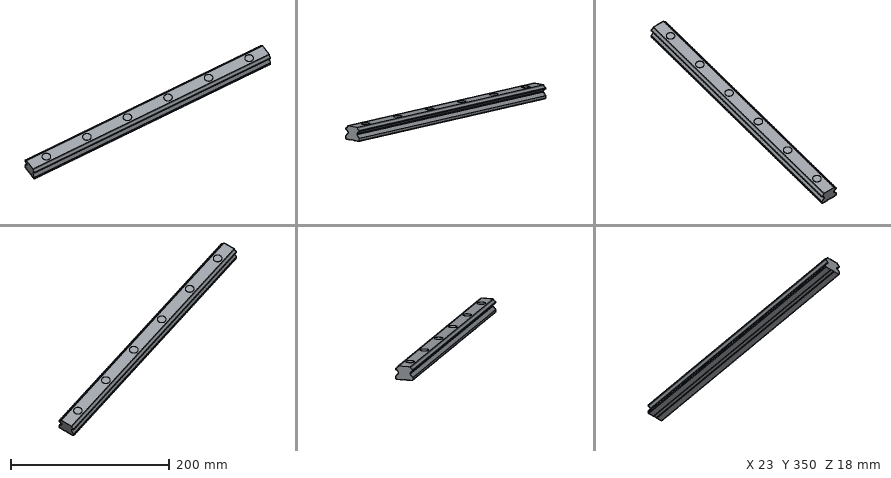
import cadquery as cq

length = 350.0
width = 23.0
height = 18.0

half_width = width / 2
base_chamfer = 1.0
base_side_top = 4.2

neck_half_width = 7.7
neck_bottom = 8.5
neck_top = 9.8

head_middle = 13.5
head_side_height = 1.0
bevel_half_width = 11.0
bevel_half_height = 1.0
groove_end_half_width = 8.5
groove_end_half_height = 3.0
groove_sag = 0.5
top_half_width = 8.0

relief_width = 5.5
relief_floor_width = 4.2
relief_depth = 0.5

recess_count = 6
recess_end_margin = 25.0
recess_pitch = (length - 2 * recess_end_margin) / (recess_count - 1)
recess_diameter = 11.0
recess_depth = 0.18


def build_half_rail():
    """Half of the rail on the +X side of its centre plane."""
    return (
        cq.Workplane("XZ", origin=(0, length / 2, 0))
        .moveTo(0, relief_depth)
        .lineTo(relief_floor_width / 2, relief_depth)
        .lineTo(relief_width / 2, 0)
        .lineTo(half_width - base_chamfer, 0)
        .lineTo(half_width, base_chamfer)
        .lineTo(half_width, base_side_top)
        .lineTo(neck_half_width, neck_bottom)
        .lineTo(neck_half_width, neck_top)
        .lineTo(groove_end_half_width, head_middle - groove_end_half_height)
        .sagittaArc((bevel_half_width, head_middle - bevel_half_height), groove_sag)
        .lineTo(half_width, head_middle - head_side_height / 2)
        .lineTo(half_width, head_middle + head_side_height / 2)
        .lineTo(bevel_half_width, head_middle + bevel_half_height)
        .sagittaArc((groove_end_half_width, head_middle + groove_end_half_height), groove_sag)
        .lineTo(top_half_width, height)
        .lineTo(0, height)
        .close()
        .extrude(length)
    )


def build_rail():
    half_rail = build_half_rail()
    return half_rail.union(half_rail.mirror("YZ"))


def build_recesses():
    return (
        cq.Workplane("XY", origin=(0, 0, height - recess_depth))
        .rarray(3.5, recess_pitch, 1, recess_count)
        .circle(recess_diameter / 2)
        .extrude(recess_depth)
    )


result = build_rail().cut(build_recesses())